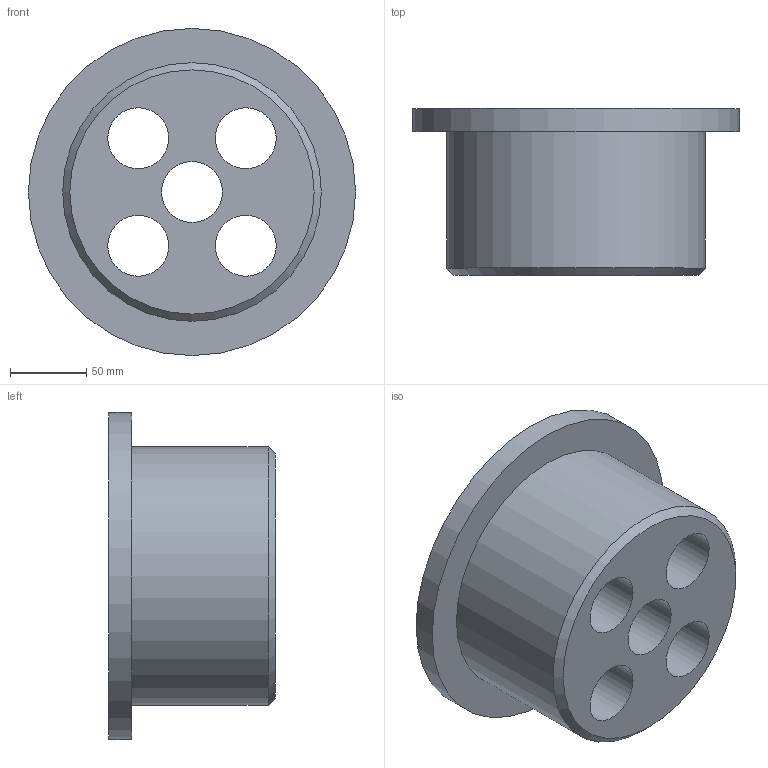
import cadquery as cq
import math

flange_diameter = 215.0
flange_thickness = 15.0
body_diameter = 170.0
overall_length = 109.5
body_length = overall_length - flange_thickness
body_chamfer = 4.75

hole_diameter = 40.0
bolt_circle_diameter = 100.0
outer_hole_count = 4
first_hole_angle = 180.0 / outer_hole_count


def make_body():
    """Cylinder from the chamfered front face at Y = 0 to the flange."""
    body = cq.Workplane("XZ").circle(body_diameter / 2).extrude(-body_length)
    return body.faces("<Y").chamfer(body_chamfer)


def make_flange():
    """Disc that closes the +Y end of the body."""
    flange_plane = cq.Workplane("XZ", origin=(0, body_length, 0))
    return flange_plane.circle(flange_diameter / 2).extrude(-flange_thickness)


def hole_centres():
    """Hole positions in the XZ plane."""
    centres = [(0.0, 0.0)]
    for index in range(outer_hole_count):
        angle = math.radians(first_hole_angle + index * 360.0 / outer_hole_count)
        radius = bolt_circle_diameter / 2
        centres.append((radius * math.cos(angle), radius * math.sin(angle)))
    return centres


def make_holes():
    """Cylinders that pass through the whole part."""
    points = cq.Workplane("XZ").pushPoints(hole_centres())
    return points.circle(hole_diameter / 2).extrude(-overall_length)


result = make_body().union(make_flange()).cut(make_holes())